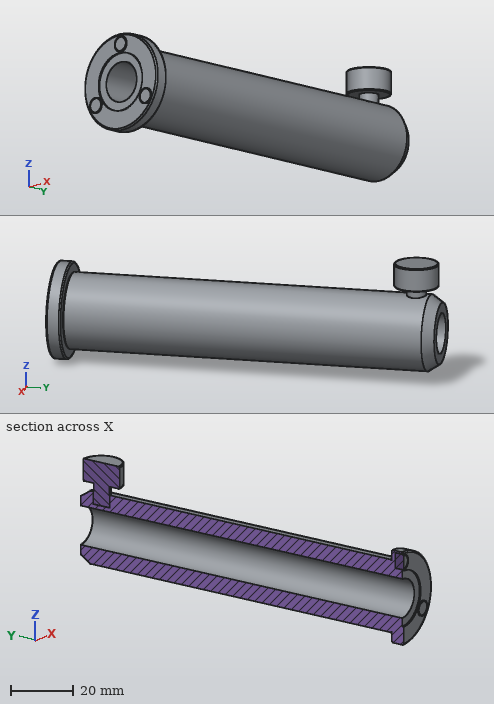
import cadquery as cq
import math

LENGTH = 127.0
TUBE_RADIUS = 25.0 / 2
BORE_RADIUS = 6.6
FLANGE_RADIUS = 15.9
FLANGE_THICKNESS = 4.8
FLANGE_CHAMFER = 0.5
NECK_WIDTH = 0.4
NECK_DEPTH = 0.4
TAPER_LENGTH = 3.7
TAPER_END_RADIUS = 10.0
FACE_RECESS_RADIUS = 9.5
FACE_RECESS_DEPTH = 0.5

PLUG_COUNT = 3
PLUG_RADIUS = 2.5
PLUG_CIRCLE_RADIUS = 12.5
PLUG_LENGTH = 3.2
PLUG_CHAMFER = 0.3

KNOB_RADIUS = 7.2
KNOB_HEIGHT = 7.7
KNOB_TOP = 23.0
KNOB_CHAMFER = 0.4
KNOB_FROM_END = 8.1
STEM_RADIUS = 3.2
STEM_BOTTOM = 8.3

KNOB_Y = LENGTH - KNOB_FROM_END
KNOB_BOTTOM = KNOB_TOP - KNOB_HEIGHT


def cylinder_along_y(radius, length, x=0, z=0):
    """Cylinder that starts at Y = 0 and runs toward +Y."""
    axis_start = cq.Vector(x, 0, z)
    return cq.Workplane(cq.Solid.makeCylinder(radius, length, axis_start, cq.Vector(0, 1, 0)))


def cylinder_along_z(radius, bottom, top):
    """Cylinder on the knob axis between two heights."""
    axis_start = cq.Vector(0, KNOB_Y, bottom)
    return cq.Workplane(cq.Solid.makeCylinder(radius, top - bottom, axis_start))


def plug_position(index):
    """X and Z of one plug; the first is at the top of the flange."""
    angle = math.radians(90 + index * 360 / PLUG_COUNT)
    return PLUG_CIRCLE_RADIUS * math.cos(angle), PLUG_CIRCLE_RADIUS * math.sin(angle)


def make_stem():
    return cylinder_along_z(STEM_RADIUS, STEM_BOTTOM, KNOB_BOTTOM)


def make_sleeve():
    """Flanged, tapered tube with a sloped neck and seats for the plugs and the knob stem."""
    neck_radius = TUBE_RADIUS - NECK_DEPTH
    neck_end = FLANGE_THICKNESS + NECK_WIDTH
    flange_face_radius = FLANGE_RADIUS - FLANGE_CHAMFER
    half_section = [
        (FACE_RECESS_RADIUS, 0),
        (flange_face_radius, 0),
        (FLANGE_RADIUS, FLANGE_CHAMFER),
        (FLANGE_RADIUS, FLANGE_THICKNESS - FLANGE_CHAMFER),
        (flange_face_radius, FLANGE_THICKNESS),
        (neck_radius, FLANGE_THICKNESS),
        (TUBE_RADIUS, neck_end),
        (TUBE_RADIUS, LENGTH - TAPER_LENGTH),
        (TAPER_END_RADIUS, LENGTH),
        (BORE_RADIUS, LENGTH),
        (BORE_RADIUS, FACE_RECESS_DEPTH),
        (FACE_RECESS_RADIUS, FACE_RECESS_DEPTH),
    ]
    sleeve = cq.Workplane("XY").polyline(half_section).close().revolve(360, (0, 0), (0, 1))
    for index in range(PLUG_COUNT):
        sleeve = sleeve.cut(cylinder_along_y(PLUG_RADIUS, PLUG_LENGTH, *plug_position(index)))
    return sleeve.cut(make_stem())


def make_plug(index):
    """Round plug with a chamfered outer rim."""
    plug = cylinder_along_y(PLUG_RADIUS, PLUG_LENGTH, *plug_position(index))
    return plug.faces("<Y").chamfer(PLUG_CHAMFER)


def make_knob():
    """Round head, chamfered on both rims, on a plain stem."""
    head = cylinder_along_z(KNOB_RADIUS, KNOB_BOTTOM, KNOB_TOP)
    head = head.faces("<Z or >Z").edges().chamfer(KNOB_CHAMFER)
    return head.union(make_stem())


sleeve = make_sleeve()
knob = make_knob()
plugs = [make_plug(index) for index in range(PLUG_COUNT)]

result = cq.Compound.makeCompound([sleeve.val(), knob.val(), *[plug.val() for plug in plugs]])